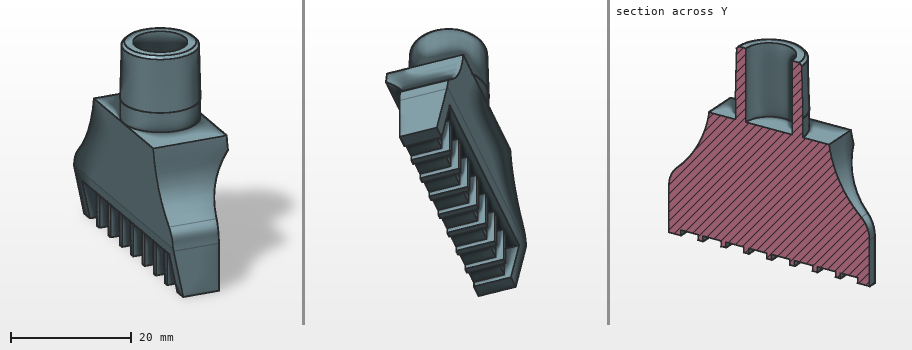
import cadquery as cq
import math

BASE_WIDTH = 39.5
TOP_WIDTH = 23.65
BODY_DEPTH = 13.41
BODY_HEIGHT = 24.0
FRONT_Y = -BODY_DEPTH / 2
REAR_Y = BODY_DEPTH / 2

SHOULDER_RADIUS = 5.0
SHOULDER_START_Z = 8.6
SHOULDER_ANGLE = 48.0

BEND_Z = 9.0
FOOT_REAR_Y = 1.67
SCOOP_RADIUS = 18.2
SLOPE_SETBACK = 1.85

WALL = 2.4
POCKET_TOP_Z = 7.0
POCKET_BACK_Y = -3.7
PLATE_BOTTOM_Z = 1.0
RIB_COUNT = 7
RIB_PITCH = 4.5
RIB_THICKNESS = 1.0
RIB_FRONT_Y = -5.12

COLLAR_RADIUS = 6.65
TAPER_START_RADIUS = BODY_DEPTH / 2
TAPER_START_Z = 27.5
SPIGOT_TOP_Z = 37.5
TAPER_END_RADIUS = 6.45
CHAMFER_HEIGHT = 0.5
RIM_RADIUS = 5.95
BORE_DIAMETER = 9.0
BORE_DEPTH = SPIGOT_TOP_Z - BODY_HEIGHT

BOSS_DIAMETER = 7.2
BOSS_Z = 14.0
BOSS_REAR_Y = 3.4


def box(x_size, y_min, y_max, z_min, z_max, x_center=0.0):
    """Box centred on x_center, spanning the given Y and Z ranges."""
    size = (x_size, y_max - y_min, z_max - z_min)
    center = (x_center, (y_min + y_max) / 2, (z_min + z_max) / 2)
    return cq.Workplane("XY").box(*size).translate(center)


def flared_prism():
    """Front outline with S-shaped sides, extruded over the full depth."""
    half_base = BASE_WIDTH / 2
    half_top = TOP_WIDTH / 2

    def shoulder_point(degrees):
        angle = math.radians(degrees)
        x = half_base - SHOULDER_RADIUS * (1 - math.cos(angle))
        z = SHOULDER_START_Z + SHOULDER_RADIUS * math.sin(angle)
        return x, z

    mid = shoulder_point(SHOULDER_ANGLE / 2)
    joint = shoulder_point(SHOULDER_ANGLE)
    right_half = (
        cq.Workplane("XZ", origin=(0, REAR_Y, 0))
        .lineTo(half_base, 0)
        .lineTo(half_base, SHOULDER_START_Z)
        .threePointArc(mid, joint)
        .tangentArcPoint((half_top, BODY_HEIGHT), relative=False)
        .lineTo(0, BODY_HEIGHT)
        .close()
        .extrude(BODY_DEPTH)
    )
    return right_half.union(right_half.mirror("YZ"))


def side_prism():
    """Side outline with the front slope and the scooped rear, as wide as the foot."""
    scoop_depth = REAR_Y - FOOT_REAR_Y

    def scoop_point(fraction):
        offset = fraction * scoop_depth
        rise = math.sqrt(SCOOP_RADIUS**2 - (SCOOP_RADIUS - offset) ** 2)
        return FOOT_REAR_Y + offset, BEND_Z + rise

    return (
        cq.Workplane("YZ")
        .moveTo(FRONT_Y + SLOPE_SETBACK, 0)
        .lineTo(FOOT_REAR_Y, 0)
        .lineTo(FOOT_REAR_Y, BEND_Z)
        .threePointArc(scoop_point(0.5), scoop_point(1.0))
        .lineTo(REAR_Y, BODY_HEIGHT)
        .lineTo(FRONT_Y, BODY_HEIGHT)
        .lineTo(FRONT_Y, BEND_Z)
        .close()
        .extrude(BASE_WIDTH / 2, both=True)
    )


def cut_comb_pocket(body):
    """Recess between the end walls, leaving a plate that stops short of the bottom."""
    width = BASE_WIDTH - 2 * WALL
    recess = box(width, FRONT_Y, POCKET_BACK_Y, 0, POCKET_TOP_Z)
    below_plate = box(width, FRONT_Y, REAR_Y, 0, PLATE_BOTTOM_Z)
    return body.cut(recess).cut(below_plate)


def add_ribs(body):
    """Evenly spaced upright ribs reaching from the rear face to the rib fronts."""
    for index in range(RIB_COUNT):
        x = (index - (RIB_COUNT - 1) / 2) * RIB_PITCH
        body = body.union(box(RIB_THICKNESS, RIB_FRONT_Y, FOOT_REAR_Y, 0, POCKET_TOP_Z, x))
    return body


def spigot():
    """Collar, slight taper and rim chamfer, revolved about Z."""
    return (
        cq.Workplane("XZ")
        .moveTo(0, BODY_HEIGHT)
        .lineTo(COLLAR_RADIUS, BODY_HEIGHT)
        .lineTo(COLLAR_RADIUS, TAPER_START_Z)
        .lineTo(TAPER_START_RADIUS, TAPER_START_Z)
        .lineTo(TAPER_END_RADIUS, SPIGOT_TOP_Z - CHAMFER_HEIGHT)
        .lineTo(RIM_RADIUS, SPIGOT_TOP_Z)
        .lineTo(0, SPIGOT_TOP_Z)
        .close()
        .revolve(360, (0, 0, 0), (0, 1, 0))
        .faces(">Z")
        .workplane()
        .hole(BORE_DIAMETER, BORE_DEPTH)
    )


def rear_boss():
    """Round boss on the rear, rooted at mid-depth inside the body."""
    return (
        cq.Workplane("XZ", origin=(0, BOSS_REAR_Y, BOSS_Z))
        .circle(BOSS_DIAMETER / 2)
        .extrude(BOSS_REAR_Y)
    )


body = flared_prism().intersect(side_prism())
body = add_ribs(cut_comb_pocket(body))
result = body.union(spigot()).union(rear_boss())